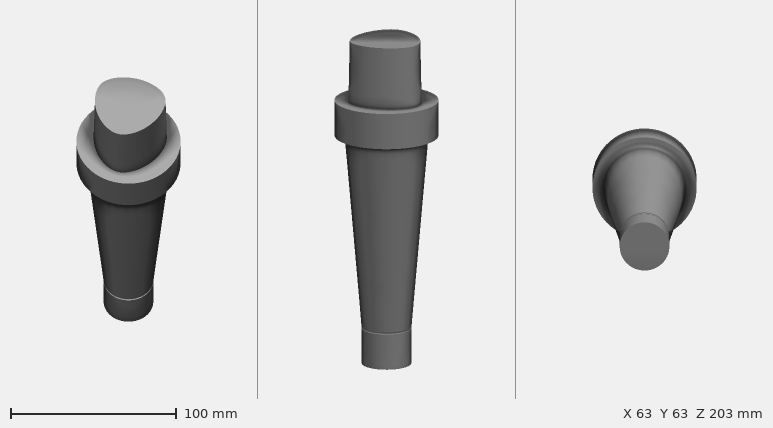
import cadquery as cq
import math

total_length = 203
flange_top = 165.0
flange_bottom = 143.0

flange_diameter = 63
body_top_diameter = 50.8
body_bottom_diameter = 30.2
body_bottom = 23.3
flange_fillet_radius = 2.8

shank_diameter = 30.0
shank_collar_diameter = 30.2
shank_shoulder = 20.3
groove_bottom = 22.1
groove_diameter = 22.3

polygon_base_radius = 22.1
polygon_top_radius = 21.3
lobe_height = 1.5
outline_steps = 48


def make_round_body():
    """Revolve the shank, groove, taper and flange, then fillet under the flange."""
    profile = (
        cq.Workplane("XZ")
        .moveTo(0, 0)
        .lineTo(shank_diameter / 2, 0)
        .lineTo(shank_diameter / 2, shank_shoulder)
        .lineTo(shank_collar_diameter / 2, shank_shoulder)
        .lineTo(shank_collar_diameter / 2, groove_bottom)
        .lineTo(groove_diameter / 2, groove_bottom)
        .lineTo(groove_diameter / 2, body_bottom)
        .lineTo(body_bottom_diameter / 2, body_bottom)
        .lineTo(body_top_diameter / 2, flange_bottom)
        .lineTo(flange_diameter / 2, flange_bottom)
        .lineTo(flange_diameter / 2, flange_top)
        .lineTo(0, flange_top)
        .close()
    )
    body = profile.revolve(360, (0, 0, 0), (0, 1, 0))
    inner_corner = cq.selectors.RadiusNthSelector(-2)
    return body.edges("%CIRCLE").edges(inner_corner).fillet(flange_fillet_radius)


def polygon_outline(mean_radius):
    """Points of a constant-width outline whose three lobes include one pointing toward -Y."""
    points = []
    for step in range(outline_steps):
        angle = 2 * math.pi * step / outline_steps - math.pi / 2
        support = mean_radius + lobe_height * math.sin(3 * angle)
        support_rate = 3 * lobe_height * math.cos(3 * angle)
        x = support * math.cos(angle) - support_rate * math.sin(angle)
        y = support * math.sin(angle) + support_rate * math.cos(angle)
        points.append((x, y))
    return points


def make_polygon_taper():
    """Blend the larger outline at the flange into the smaller one at the top."""
    return (
        cq.Workplane("XY", origin=(0, 0, flange_top))
        .spline(polygon_outline(polygon_base_radius), periodic=True)
        .close()
        .workplane(offset=total_length - flange_top)
        .spline(polygon_outline(polygon_top_radius), periodic=True)
        .close()
        .loft(ruled=True)
    )


result = make_round_body().union(make_polygon_taper())